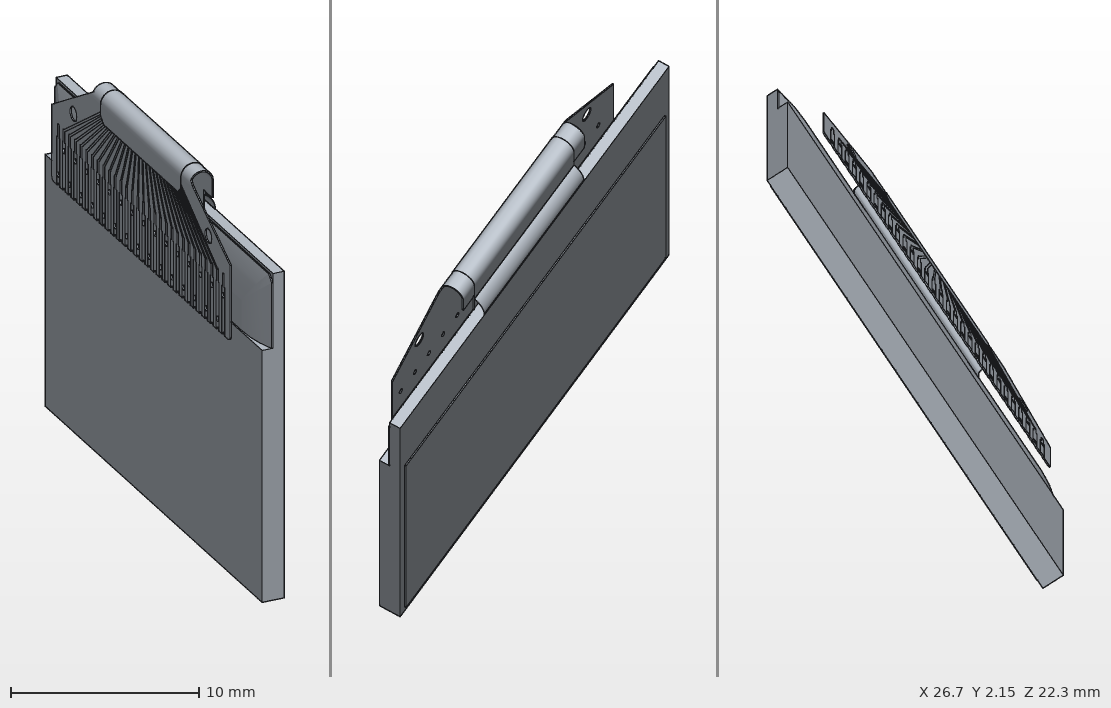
import cadquery as cq
import math


glass_width = 26.7
glass_height = 19.28
rear_plate_thickness = 0.67
front_plate_thickness = 0.65
step_z = 14.87

film_thickness = 0.08
film_side_margin = 0.45
film_bottom_margin = 0.4

glue_top_margin = 0.15
glue_edge_thickness = 0.08
glue_thickness = 0.55
side_dome_width = 2.67
top_dome_width = 2.45
glue_corner_cut = 0.27

overall_height = 22.32
overall_depth = 2.15
flex_thickness = 0.08
cover_thickness = 0.021
copper_thickness = 0.013
bend_depth = overall_depth - rear_plate_thickness - film_thickness
bend_radius = (bend_depth - cover_thickness) / 2
bend_z = overall_height - bend_radius - cover_thickness
flex_front_y = -2 * bend_radius
tail_width = 12.02
tail_bottom_z = 17.78
leg_width = 21.95
leg_bottom_z = 14.55
leg_corner_radius = 0.27
shoulder_z = 19.0
shoulder_angle = 30.0
locating_hole_diameter = 0.83
locating_hole_x = 8.3
locating_hole_z = 19.6

cover_width = 9.88
cover_bottom_z = 20.59
cover_corner_chamfer = 0.37
flap_top_z = 20.3
flap_foot_y = 0.65

contact_count = 30
contact_span = 20.3
contact_pitch = contact_span / (contact_count - 1)
contact_width = 0.37
contact_top_z = 17.4
neck_width = 0.21
neck_top_z = 18.1
trace_width = 0.13
fan_span = 12.28
trace_pitch = fan_span / (contact_count - 1)
trace_overrun = 1.3
via_diameter = 0.3
low_via_z = 15.22
high_via_z = 16.9


def box(x_size, y_min, y_max, z_min, z_max):
    """Box centred on X = 0."""
    return cq.Workplane("XY").box(x_size, y_max - y_min, z_max - z_min).translate(
        (0, (y_min + y_max) / 2, (z_min + z_max) / 2)
    )


def front_plane(y):
    """Sketch plane at the given Y that extrudes towards the front; its axes are X and Z."""
    return cq.Workplane("XZ", origin=(0, y, 0))


def make_glass():
    rear_plate = box(glass_width, 0, rear_plate_thickness, 0, glass_height)
    front_plate = box(glass_width, -front_plate_thickness, 0, 0, step_z)
    return rear_plate.union(front_plate)


def make_film():
    back_y = rear_plate_thickness + film_thickness
    film_width = glass_width - 2 * film_side_margin
    return box(film_width, rear_plate_thickness, back_y, film_bottom_margin, step_z)


def dome_prism(corner_x, corner_z, inward_angle, edge_offset, dome_width):
    """Long prism whose cross-section is the bead's: a low edge, a domed rise and a flat front.

    The prism starts edge_offset inward of the given corner. inward_angle is measured in the
    XZ plane from +X towards +Z and points from the edge to the middle of the bead.
    """
    rise = glue_thickness - glue_edge_thickness
    radius = (dome_width**2 + rise**2) / (2 * rise)
    half_angle = math.asin(dome_width / radius) / 2
    arc_middle = (
        dome_width - radius * math.sin(half_angle),
        glue_thickness - radius * (1 - math.cos(half_angle)),
    )
    reach = 2 * glass_width
    inward = cq.Vector(math.cos(inward_angle), 0, math.sin(inward_angle))
    along = cq.Vector(math.sin(inward_angle), 0, -math.cos(inward_angle))
    start = cq.Vector(corner_x, 0, corner_z) + inward * edge_offset
    return (
        cq.Workplane(cq.Plane(origin=start, xDir=inward, normal=along))
        .lineTo(0, glue_edge_thickness)
        .threePointArc(arc_middle, (dome_width, glue_thickness))
        .lineTo(reach, glue_thickness)
        .lineTo(reach, 0)
        .close()
        .extrude(reach, both=True)
    )


def make_glue(tail):
    top_z = glass_height - glue_top_margin
    diagonal_angle = math.atan2(top_dome_width, side_dome_width)
    diagonal_width = math.hypot(side_dome_width, top_dome_width) - glue_corner_cut
    bead = box(glass_width, -glue_thickness, 0, step_z, top_z)
    bead = bead.intersect(dome_prism(0, top_z, -math.pi / 2, 0, top_dome_width))
    for side, side_angle, corner_angle in (
        (-1, 0, -diagonal_angle),
        (1, math.pi, math.pi + diagonal_angle),
    ):
        corner_x = side * glass_width / 2
        bead = bead.intersect(dome_prism(corner_x, top_z, side_angle, 0, side_dome_width))
        bead = bead.intersect(dome_prism(corner_x, top_z, corner_angle, glue_corner_cut, diagonal_width))
    return bead.cut(tail)


def make_tail():
    wide_part = box(tail_width, -flex_thickness, 0, cover_bottom_z, bend_z)
    narrow_part = box(cover_width, -flex_thickness, 0, tail_bottom_z, cover_bottom_z)
    return wide_part.union(narrow_part)


def make_bend(width, outer_radius, thickness):
    """Half tube over the top, joining the tail to the front leg."""
    return (
        cq.Workplane("YZ", origin=(-width / 2, -bend_radius, bend_z))
        .moveTo(outer_radius, 0)
        .threePointArc((0, outer_radius), (-outer_radius, 0))
        .lineTo(thickness - outer_radius, 0)
        .threePointArc((0, outer_radius - thickness), (outer_radius - thickness, 0))
        .close()
        .extrude(width)
    )


def make_front_outline():
    """Prism of the front leg's outline, deep enough to trim the front of the bend as well."""
    half_leg = leg_width / 2
    half_tail = tail_width / 2
    neck_z = shoulder_z + (half_leg - half_tail) * math.tan(math.radians(shoulder_angle))
    return (
        front_plane(-bend_radius)
        .polyline(
            [
                (-half_leg, leg_bottom_z),
                (half_leg, leg_bottom_z),
                (half_leg, shoulder_z),
                (half_tail, neck_z),
                (half_tail, overall_height),
                (-half_tail, overall_height),
                (-half_tail, neck_z),
                (-half_leg, shoulder_z),
            ]
        )
        .close()
        .extrude(bend_radius)
        .edges("|Y and <Z")
        .fillet(leg_corner_radius)
    )


def make_base(tail):
    rear_bend = make_bend(tail_width, bend_radius, flex_thickness).intersect(
        box(leg_width, -bend_radius, 0, bend_z, overall_height)
    )
    leg = box(leg_width, flex_front_y, flex_front_y + flex_thickness, leg_bottom_z, bend_z)
    front = leg.union(make_bend(leg_width, bend_radius, flex_thickness)).intersect(make_front_outline())
    locating_holes = (
        front_plane(0)
        .pushPoints([(-locating_hole_x, locating_hole_z), (locating_hole_x, locating_hole_z)])
        .circle(locating_hole_diameter / 2)
        .extrude(2 * bend_radius)
    )
    return tail.union(rear_bend).union(front.cut(locating_holes))


def make_front_cover():
    height = bend_z - cover_bottom_z
    return (
        front_plane(flex_front_y)
        .center(0, cover_bottom_z + height / 2)
        .rect(cover_width, height)
        .extrude(cover_thickness)
        .edges("|Y and <Z")
        .chamfer(cover_corner_chamfer)
    )


def make_flap():
    """Thin sheet from the back of the tail, curving down to stand on top of the glass."""
    run = flap_foot_y
    drop = flap_top_z - glass_height
    radius = (run**2 + drop**2) / (2 * run)
    inner_radius = radius - cover_thickness
    centre_y = flap_foot_y - radius
    inner_top_z = math.sqrt(inner_radius**2 - centre_y**2)
    outer_mid = math.asin(drop / radius) / 2
    inner_mid = math.asin(inner_top_z / inner_radius) / 2
    return (
        cq.Workplane("YZ", origin=(-cover_width / 2, centre_y, glass_height))
        .moveTo(radius, 0)
        .threePointArc(
            (radius * math.cos(outer_mid), radius * math.sin(outer_mid)),
            (-centre_y, drop),
        )
        .lineTo(-centre_y, inner_top_z)
        .threePointArc(
            (inner_radius * math.cos(inner_mid), inner_radius * math.sin(inner_mid)),
            (inner_radius, 0),
        )
        .close()
        .extrude(cover_width)
    )


def make_cover():
    bend_cover = make_bend(cover_width, bend_radius + cover_thickness, cover_thickness)
    tail_cover = box(cover_width, 0, cover_thickness, flap_top_z - cover_thickness, bend_z)
    return make_front_cover().union(bend_cover).union(tail_cover).union(make_flap())


def row_x(index, pitch):
    """X of a place in a row of contact_count places centred on X = 0."""
    return (index - (contact_count - 1) / 2) * pitch


def upright_strip(x, width, z_min, z_max):
    """Upright strip of copper on the front leg."""
    height = z_max - z_min
    return (
        front_plane(flex_front_y)
        .center(x, z_min + height / 2)
        .rect(width, height)
        .extrude(copper_thickness)
    )


def make_contact(index):
    """Copper of one contact: pad, round-ended neck and, except at both ends, a slanted trace."""
    x = row_x(index, contact_pitch)
    plane = front_plane(flex_front_y)
    pad = upright_strip(x, contact_width, leg_bottom_z, contact_top_z)
    neck = upright_strip(x, neck_width, contact_top_z, neck_top_z)
    neck_end = plane.center(x, neck_top_z).circle(neck_width / 2).extrude(copper_thickness)
    contact = pad.union(neck).union(neck_end)
    if index in (0, contact_count - 1):
        return contact
    run = row_x(index, trace_pitch) - x
    climb = cover_bottom_z - neck_top_z
    length = trace_overrun * math.hypot(run, climb)
    trace = (
        plane.center(x, neck_top_z)
        .transformed(rotate=(0, 0, math.degrees(math.atan2(climb, run))))
        .center(length / 2, 0)
        .rect(length, trace_width)
        .extrude(copper_thickness)
    )
    return contact.union(trace)


def make_vias():
    """Plated holes: one per contact, alternately low and high, and a notch at its bottom end."""
    centres = []
    for index in range(contact_count):
        via_z = high_via_z if index % 2 else low_via_z
        centres.append((row_x(index, contact_pitch), via_z))
        centres.append((row_x(index, contact_pitch), leg_bottom_z))
    depth = flex_thickness + copper_thickness
    return (
        front_plane(flex_front_y + flex_thickness)
        .pushPoints(centres)
        .circle(via_diameter / 2)
        .extrude(depth)
    )


def make_flex(tail):
    contacts = [make_contact(index).val() for index in range(contact_count)]
    flex = make_base(tail).union(make_cover()).val().fuse(*contacts)
    return cq.Workplane(flex).cut(make_vias())


tail = make_tail()
glass = make_glass()
film = make_film()
glue = make_glue(tail)
flex = make_flex(tail)

result = cq.Compound.makeCompound([glass.val(), film.val(), glue.val(), flex.val()])